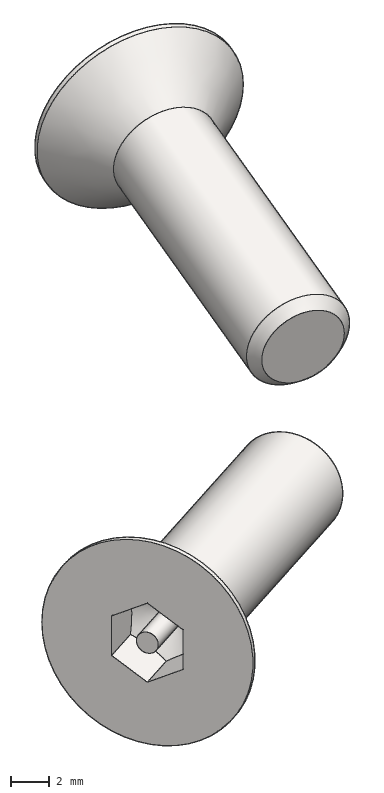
import cadquery as cq
import math

length = 20.0
head_diameter = 12.0
shank_diameter = 6.0
rim_thickness = 0.3
tip_chamfer = 0.6

socket_across_flats = 4.05
socket_depth = 2.55
pin_diameter = 1.25
cone_slope = 30.0

head_radius = head_diameter / 2
shank_radius = shank_diameter / 2
pin_radius = pin_diameter / 2
head_height = rim_thickness + head_radius - shank_radius
socket_corner_diameter = socket_across_flats / math.cos(math.radians(30))
socket_corner_radius = socket_corner_diameter / 2


def make_body():
    """Revolve the head, shank and chamfered tip about the X axis."""
    profile = (
        cq.Workplane("XY")
        .polyline([
            (0, 0),
            (0, head_radius),
            (rim_thickness, head_radius),
            (head_height, shank_radius),
            (length - tip_chamfer, shank_radius),
            (length, shank_radius - tip_chamfer),
            (length, 0),
        ])
        .close()
    )
    return profile.revolve(360, (0, 0, 0), (1, 0, 0))


def make_socket():
    """Hexagonal recess with a conical floor around the central pin."""
    cone_depth = (socket_corner_radius - pin_radius) * math.tan(math.radians(cone_slope))
    floor_depth = socket_depth + cone_depth
    hexagon = (
        cq.Workplane("YZ")
        .polygon(6, socket_corner_diameter)
        .extrude(floor_depth)
        .rotate((0, 0, 0), (1, 0, 0), 90)
    )
    envelope = (
        cq.Workplane("XY")
        .polyline([
            (0, pin_radius),
            (0, socket_corner_radius),
            (socket_depth, socket_corner_radius),
            (floor_depth, pin_radius),
        ])
        .close()
        .revolve(360, (0, 0, 0), (1, 0, 0))
    )
    return hexagon.intersect(envelope)


result = make_body().cut(make_socket())